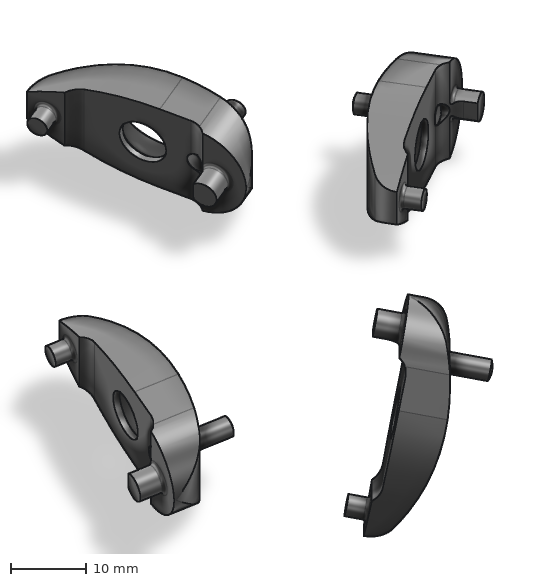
import cadquery as cq
import math


LENGTH = 33.0
WIDTH = 15.0
NARROW_END_WIDTH = 5.08
SIDE_ARC_END_X = 19.35
NOSE_RADIUS = WIDTH / 2

CROWN_X = 17.82
CROWN_Y = 6.65
CROWN_RADIUS = 32.0
NARROW_END_ROUND = 4.0
NOSE_ROUND = 6.0

NARROW_FOOT_DEPTH = 1.05
NOSE_FOOT_DEPTH = 1.3
RELIEF_RADIUS = 3.0
NARROW_RELIEF_X = 8.0
NOSE_RELIEF_X = 24.0

STUD_ROOT_FILLET = 0.5
NARROW_STUD_X = 3.07
NARROW_STUD_RADIUS = 1.52
NARROW_STUD_END_Y = -4.0
NOSE_STUD_X = 28.48
NOSE_STUD_RADIUS = 2.0
NOSE_STUD_END_Y = -5.0

HOLE_X = 16.83
HOLE_RADIUS = 3.5
DISH_RADIUS = 6.65

PIN_X = 24.98
PIN_RADIUS = 1.5
PIN_LOWER_Y = -0.43
PIN_UPPER_Y = 11.58
PIN_DOME_HEIGHT = 0.35

CUT_MARGIN = 1.65


def plan_prism():
    """Lever outline: blunt narrow end, arched flanks and a round nose, extruded along Y."""
    half_width = WIDTH / 2
    half_end = NARROW_END_WIDTH / 2
    nose_center_x = LENGTH - NOSE_RADIUS
    flank_rise = half_width - half_end
    flank_radius = (SIDE_ARC_END_X**2 + flank_rise**2) / (2 * flank_rise)
    flank_mid_x = SIDE_ARC_END_X / 2
    flank_mid_z = half_width - flank_radius + math.sqrt(flank_radius**2 - flank_mid_x**2)
    return (
        cq.Workplane("XZ", origin=(0, CROWN_Y + CUT_MARGIN, 0))
        .moveTo(0, -half_end)
        .lineTo(0, half_end)
        .threePointArc((flank_mid_x, flank_mid_z), (SIDE_ARC_END_X, half_width))
        .lineTo(nose_center_x, half_width)
        .threePointArc((LENGTH, 0), (nose_center_x, -half_width))
        .lineTo(SIDE_ARC_END_X, -half_width)
        .threePointArc((flank_mid_x, -flank_mid_z), (0, -half_end))
        .close()
        .extrude(CROWN_Y + NOSE_FOOT_DEPTH + 2 * CUT_MARGIN)
    )


def crown_height(x):
    return CROWN_Y - CROWN_RADIUS + math.sqrt(CROWN_RADIUS**2 - (x - CROWN_X) ** 2)


def side_prism():
    """Crowned back and stepped underside, extruded across the width."""
    foot_height = RELIEF_RADIUS - NARROW_FOOT_DEPTH
    relief_start_x = NARROW_RELIEF_X - math.sqrt(RELIEF_RADIUS**2 - foot_height**2)
    mid_angle = (math.asin(foot_height / RELIEF_RADIUS) + math.pi / 2) / 2
    relief_mid = (
        NARROW_RELIEF_X - RELIEF_RADIUS * math.cos(mid_angle),
        RELIEF_RADIUS * (math.sin(mid_angle) - 1),
    )
    prism = (
        cq.Workplane("XY")
        .moveTo(0, -NARROW_FOOT_DEPTH)
        .lineTo(relief_start_x, -NARROW_FOOT_DEPTH)
        .threePointArc(relief_mid, (NARROW_RELIEF_X, 0))
        .lineTo(NOSE_RELIEF_X, 0)
        .lineTo(NOSE_RELIEF_X, -NOSE_FOOT_DEPTH)
        .lineTo(LENGTH, -NOSE_FOOT_DEPTH)
        .lineTo(LENGTH, crown_height(LENGTH))
        .threePointArc((CROWN_X, CROWN_Y), (0, crown_height(0)))
        .close()
        .extrude(WIDTH / 2 + CUT_MARGIN, both=True)
    )
    narrow_corner = (0, crown_height(0), 0)
    prism = prism.edges(cq.selectors.NearestToPointSelector(narrow_corner)).fillet(NARROW_END_ROUND)
    nose_corner = (LENGTH, crown_height(LENGTH), 0)
    return prism.edges(cq.selectors.NearestToPointSelector(nose_corner)).fillet(NOSE_ROUND)


def stud(x, radius, foot_y, end_y):
    """Round stud along Y, flaring into the foot through a concave root fillet."""
    root_y = foot_y - STUD_ROOT_FILLET
    flare_radius = radius + STUD_ROOT_FILLET
    fillet_offset = STUD_ROOT_FILLET * (1 - math.sqrt(0.5))
    return (
        cq.Workplane("XY", origin=(x, 0, 0))
        .moveTo(0, end_y)
        .lineTo(radius, end_y)
        .lineTo(radius, root_y)
        .threePointArc((radius + fillet_offset, foot_y - fillet_offset), (flare_radius, foot_y))
        .lineTo(flare_radius, foot_y + STUD_ROOT_FILLET)
        .lineTo(0, foot_y + STUD_ROOT_FILLET)
        .close()
        .revolve(360, (0, 0, 0), (0, 1, 0))
    )


def nose_relief():
    """Cutter for the concave arc before the nose foot and the flat it leaves on the nose stud."""
    flat_x = NOSE_RELIEF_X + RELIEF_RADIUS
    bottom_y = NOSE_STUD_END_Y - CUT_MARGIN
    arc_offset = RELIEF_RADIUS * math.sqrt(0.5)
    arc_mid = (NOSE_RELIEF_X + arc_offset, arc_offset - RELIEF_RADIUS)
    return (
        cq.Workplane("XY")
        .moveTo(NOSE_RELIEF_X, 0)
        .threePointArc(arc_mid, (flat_x, -RELIEF_RADIUS))
        .lineTo(flat_x, bottom_y)
        .lineTo(NOSE_RELIEF_X, bottom_y)
        .close()
        .extrude(WIDTH / 2 + CUT_MARGIN, both=True)
    )


def y_cylinder(x, radius, low_y, high_y):
    return cq.Workplane("XZ", origin=(x, high_y, 0)).circle(radius).extrude(high_y - low_y)


def make_cross_pin():
    """Straight pin along Y with a shallow dome on each end."""
    dome_mid_radius = PIN_RADIUS / 2
    dome_radius = (PIN_RADIUS**2 + PIN_DOME_HEIGHT**2) / (2 * PIN_DOME_HEIGHT)
    lower_rim_y = PIN_LOWER_Y + PIN_DOME_HEIGHT
    dome_drop = dome_radius - math.sqrt(dome_radius**2 - dome_mid_radius**2)
    return (
        cq.Workplane("XY", origin=(PIN_X, 0, 0))
        .moveTo(0, PIN_LOWER_Y)
        .threePointArc((dome_mid_radius, PIN_LOWER_Y + dome_drop), (PIN_RADIUS, lower_rim_y))
        .lineTo(PIN_RADIUS, PIN_UPPER_Y - PIN_DOME_HEIGHT)
        .threePointArc((dome_mid_radius, PIN_UPPER_Y - dome_drop), (0, PIN_UPPER_Y))
        .close()
        .revolve(360, (0, 0, 0), (0, 1, 0))
    )


def make_lever():
    low_y = -NOSE_FOOT_DEPTH - CUT_MARGIN
    high_y = CROWN_Y + CUT_MARGIN
    dish = cq.Workplane("XY", origin=(HOLE_X, CROWN_Y, 0)).sphere(DISH_RADIUS)
    lever = plan_prism().intersect(side_prism())
    lever = lever.union(stud(NARROW_STUD_X, NARROW_STUD_RADIUS, -NARROW_FOOT_DEPTH, NARROW_STUD_END_Y))
    lever = lever.union(stud(NOSE_STUD_X, NOSE_STUD_RADIUS, -NOSE_FOOT_DEPTH, NOSE_STUD_END_Y))
    lever = lever.cut(nose_relief())
    lever = lever.cut(y_cylinder(HOLE_X, HOLE_RADIUS, low_y, high_y))
    lever = lever.cut(dish)
    return lever.cut(y_cylinder(PIN_X, PIN_RADIUS, low_y, high_y))


lever = make_lever()
cross_pin = make_cross_pin()

result = cq.Compound.makeCompound([lever.solids().val(), cross_pin.val()])